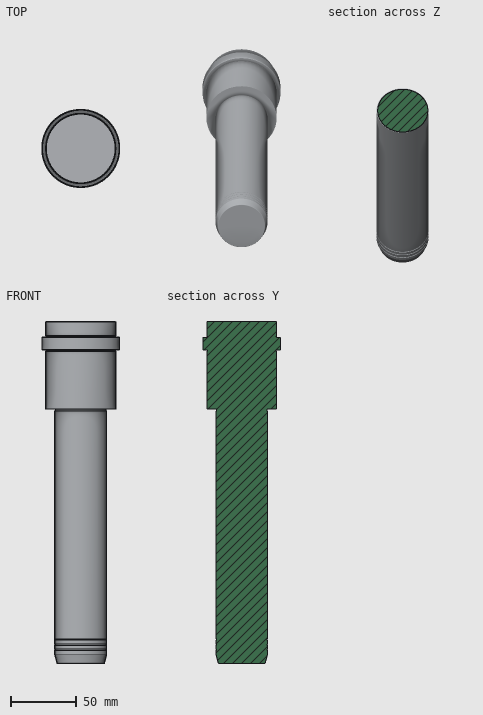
import cadquery as cq
import math

TOTAL_LENGTH = 263.0

HEAD_DIAMETER = 54.0
HEAD_LENGTH = 67.5
COLLAR_DIAMETER = 60.0
COLLAR_HEIGHT = 10.0
COLLAR_TOP_DEPTH = 12.0
EDGE_CHAMFER = 0.5
HEAD_GROOVE_DEPTH = 0.5

SHANK_DIAMETER = 40.0
NECK_DEPTH = 0.5
NECK_LENGTH = 1.5

TIP_LENGTH = 7.0
TIP_HALF_ANGLE = 15.0
TIP_EDGE_RADIUS = 0.5

RING_COUNT = 3
RING_PITCH = 4.0
RING_RADIUS = 0.5

HEAD_BOTTOM = TOTAL_LENGTH - HEAD_LENGTH
COLLAR_TOP = TOTAL_LENGTH - COLLAR_TOP_DEPTH
COLLAR_BOTTOM = COLLAR_TOP - COLLAR_HEIGHT
FIRST_RING_LEVEL = TIP_LENGTH + RING_PITCH - RING_RADIUS


def disc(diameter, bottom, height):
    """Solid cylinder on the Z axis."""
    return cq.Workplane("XY").workplane(offset=bottom).circle(diameter / 2).extrude(height)


def turn(section):
    """Revolve a closed section, drawn on global coordinates, about the Z axis."""
    return section.revolve(360, (0, 0, 0), (0, 1, 0))


def round_groove(diameter, radius, middle):
    """Half-round ring to cut from a cylinder of the given diameter."""
    surface = diameter / 2
    section = (
        cq.Workplane("XZ")
        .moveTo(surface, middle - radius)
        .threePointArc((surface - radius, middle), (surface, middle + radius))
        .close()
    )
    return turn(section)


def v_groove(diameter, depth, middle):
    """45-degree V-shaped ring to cut from a cylinder of the given diameter."""
    surface = diameter / 2
    section = (
        cq.Workplane("XZ")
        .moveTo(surface, middle - depth)
        .lineTo(surface - depth, middle)
        .lineTo(surface, middle + depth)
        .close()
    )
    return turn(section)


def make_tip():
    """Tapered lower end with a rounded bottom edge."""
    radius = SHANK_DIAMETER / 2
    inset = TIP_LENGTH * math.tan(math.radians(TIP_HALF_ANGLE))
    section = (
        cq.Workplane("XZ")
        .lineTo(radius - inset, 0)
        .lineTo(radius, TIP_LENGTH)
        .lineTo(0, TIP_LENGTH)
        .close()
    )
    return turn(section).faces("<Z").edges().fillet(TIP_EDGE_RADIUS)


def make_shank():
    """Straight shank with a reduced neck under the head and ring grooves above the tip."""
    neck_bottom = HEAD_BOTTOM - NECK_LENGTH
    shank = disc(SHANK_DIAMETER, TIP_LENGTH, neck_bottom - TIP_LENGTH)
    shank = shank.union(disc(SHANK_DIAMETER - 2 * NECK_DEPTH, neck_bottom, NECK_LENGTH))
    for number in range(RING_COUNT):
        level = FIRST_RING_LEVEL + number * RING_PITCH
        shank = shank.cut(round_groove(SHANK_DIAMETER, RING_RADIUS, level))
    return shank


def make_head():
    """Head cylinder with a chamfered collar between two V-grooves."""
    head = disc(HEAD_DIAMETER, HEAD_BOTTOM, HEAD_LENGTH)
    head = head.faces(">Z").chamfer(EDGE_CHAMFER)
    for middle in (COLLAR_TOP + HEAD_GROOVE_DEPTH, COLLAR_BOTTOM - HEAD_GROOVE_DEPTH):
        head = head.cut(v_groove(HEAD_DIAMETER, HEAD_GROOVE_DEPTH, middle))
    collar = disc(COLLAR_DIAMETER, COLLAR_BOTTOM, COLLAR_HEIGHT)
    return head.union(collar.faces("<Z or >Z").chamfer(EDGE_CHAMFER))


result = make_tip().union(make_shank()).union(make_head())